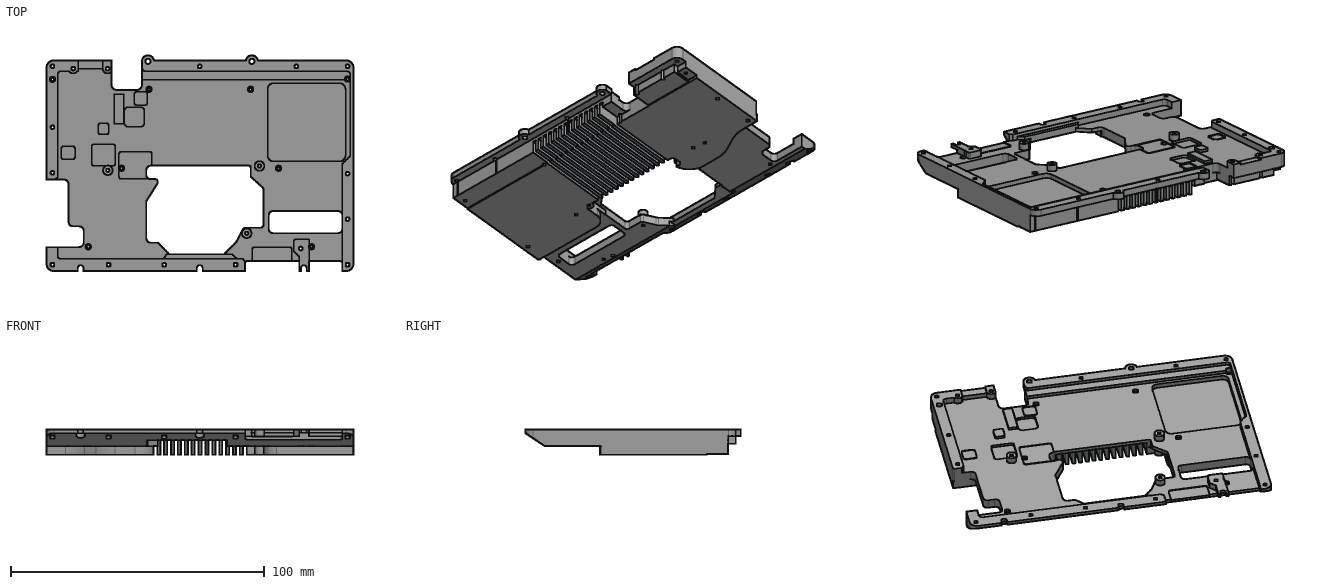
import cadquery as cq
import math

LENGTH = 121.0
DEPTH = 83.0
HEIGHT = 10.0
CORNER_R = 3.0
EDGE_R = 0.5

PLATE_BOTTOM = 3.5
FLOOR = 7.4
SHELF = 8.7
FIN_ROOT = 5.8
BACK_LIP_BOTTOM = 4.3
EAR_BOTTOM = 7.4
BACK_STEP_BOTTOM = 0.35
LEFT_STEP_BOTTOM = 1.4

LEFT_RIM = 4.4
RIGHT_RIM_X = 116.5
THIN_RIGHT_RIM_X = 119.7
RIM_FRONT = 4.8
RIM_BACK_Y = 78.7
FRONT_RIM_END = 78.3
FRONT_RECESS_Y = 3.9
LEFT_NOTCH_BACK = 36.0
LEFT_NOTCH_FRONT = 9.5
NOTCH_LEFT = 25.7
NOTCH_RIGHT = 37.6
NOTCH_FRONT = 71.4
NOTCH_R = 2.0
SHELF_FRONT = 75.3
RIM_CHAMFER = 1.0

BLOCK_FRONT = 29.5
BLOCK_BACK = 80.0
BLOCK_STEP_Y = 71.6
LEFT_STEP_BACK = 78.1
WINDOW_LEFT = 39.4
WINDOW_BACK = 41.5
WINDOW_RIGHT = 80.4
WINDOW_FRONT = 6.7
BLEND_ANGLE = math.radians(30)
BLEND_R = 15.0
RELIEF_RIGHT = 85.6
RIGHT_NOSE_R = 5.0

GAP_COUNT = 14
GAP_START = 42.25
GAP_PITCH = 2.71
GAP_WIDTH = 1.35
FIN_WIDTH = GAP_PITCH - GAP_WIDTH
FIN_NOSE_R = 0.65

SCREW_R = 0.7
SCREW_SEAT_R = 1.0
SCREW_SEAT_TOP = 7.7
TAPPED_R = 0.6
EAR_R = 2.4
EAR_HOLE_R = 1.0
EAR_Y = 82.6
EARS_X = (40.0, 80.9)
SLOT_R = 1.1
SLOT_Y = 1.2
SLOT_SEAT_R = 1.75
SLOT_SEAT_TOP = 8.6
BOSS_R = 1.9
SINK_R = 1.1
SINK_DEPTH = 1.0

CUT = 5.0


def rounded_outline(corners):
    """Closed wire through (x, y, radius) corners; radius 0 leaves a sharp corner."""
    path = []
    count = len(corners)
    for i, (x, y, radius) in enumerate(corners):
        here = cq.Vector(x, y)
        if radius == 0:
            path.append((here,))
            continue
        before = cq.Vector(*corners[i - 1][:2]) - here
        after = cq.Vector(*corners[(i + 1) % count][:2]) - here
        half = before.getAngle(after) / 2
        setback = radius / math.tan(half)
        bisector = (before.normalized() + after.normalized()).normalized()
        middle = here + bisector * (radius / math.sin(half) - radius)
        path.append((here + before.normalized() * setback, middle, here + after.normalized() * setback))
    wire = cq.Workplane("XY").moveTo(path[0][-1].x, path[0][-1].y)
    for stop in path[1:] + path[:1]:
        wire = wire.lineTo(stop[0].x, stop[0].y)
        if len(stop) == 3:
            wire = wire.threePointArc(stop[1].toTuple()[:2], stop[2].toTuple()[:2])
    return wire.close()


def slab(corners, bottom, top):
    """Rounded outline filled from one level to another."""
    return rounded_outline(corners).extrude(top - bottom).translate((0, 0, bottom))


def box(x0, x1, y0, y1, bottom, top, radius=0.0):
    """Upright box with rounded vertical edges."""
    return slab([(x0, y0, radius), (x1, y0, radius), (x1, y1, radius), (x0, y1, radius)], bottom, top)


def rods(centers, radius, bottom, top):
    """Vertical cylinders at the given centres."""
    return cq.Workplane("XY").workplane(offset=bottom).pushPoints(centers).circle(radius).extrude(top - bottom)


FRAME_OUTLINE = [
    (0, 0, CORNER_R),
    (FRONT_RIM_END, 0, 0),
    (FRONT_RIM_END, FRONT_RECESS_Y, 0.7),
    (RIGHT_RIM_X, FRONT_RECESS_Y, 0.7),
    (RIGHT_RIM_X, 0, 0),
    (LENGTH, 0, CORNER_R),
    (LENGTH, DEPTH, CORNER_R),
    (NOTCH_RIGHT, DEPTH, 0),
    (NOTCH_RIGHT, NOTCH_FRONT, NOTCH_R),
    (NOTCH_LEFT, NOTCH_FRONT, NOTCH_R),
    (NOTCH_LEFT, DEPTH, 0),
    (0, DEPTH, CORNER_R),
    (0, LEFT_NOTCH_BACK, EDGE_R),
    (8.7, LEFT_NOTCH_BACK, 1.8),
    (8.7, 17.6, 1.8),
    (14.7, 17.6, 1.8),
    (14.7, LEFT_NOTCH_FRONT, 1.8),
    (0, LEFT_NOTCH_FRONT, 0),
]

CONNECTOR_LEFT = 12.5
CONNECTOR_RIGHT = 22.3
CONNECTOR_FRONT = 79.6
CONNECTOR_FLOOR = 9.3
RECESS_OUTLINE = [
    (LEFT_RIM, RIM_FRONT, 1.4),
    (FRONT_RIM_END - RIM_CHAMFER, RIM_FRONT, 0),
    (FRONT_RIM_END, RIM_FRONT - RIM_CHAMFER, 0),
    (FRONT_RIM_END, -CUT, 0),
    (RIGHT_RIM_X, -CUT, 0),
    (RIGHT_RIM_X, 42.2, 0),
    (THIN_RIGHT_RIM_X, 45.4, 0),
    (THIN_RIGHT_RIM_X, RIM_BACK_Y, 1.4),
    (NOTCH_RIGHT + RIM_CHAMFER, RIM_BACK_Y, 0),
    (NOTCH_RIGHT, RIM_BACK_Y + RIM_CHAMFER, 0),
    (NOTCH_LEFT, CONNECTOR_FRONT, 0),
    (CONNECTOR_LEFT, CONNECTOR_FRONT, 0),
    (CONNECTOR_LEFT, RIM_BACK_Y, 0),
    (LEFT_RIM, RIM_BACK_Y, 1.4),
    (LEFT_RIM, LEFT_NOTCH_BACK + RIM_CHAMFER, 0),
    (LEFT_RIM - RIM_CHAMFER, LEFT_NOTCH_BACK, 0),
    (LEFT_RIM, LEFT_NOTCH_BACK, 0),
]

CONNECTOR_SCREWS = [(10.55, 79.75), (24.1, 79.75)]


def frame():
    body = slab(FRAME_OUTLINE, PLATE_BOTTOM, HEIGHT)
    body = body.cut(slab(RECESS_OUTLINE, FLOOR, HEIGHT + CUT))
    shelf = box(NOTCH_RIGHT, THIN_RIGHT_RIM_X, SHELF_FRONT, RIM_BACK_Y + RIM_CHAMFER, FLOOR, SHELF)
    pillars = rods(CONNECTOR_SCREWS, BOSS_R, FLOOR, HEIGHT)
    pillars = pillars.intersect(box(0, NOTCH_LEFT, 0, DEPTH, 0, HEIGHT))
    body = body.union(shelf).union(pillars)
    body = body.cut(box(CONNECTOR_LEFT, CONNECTOR_RIGHT, CONNECTOR_FRONT - CUT, DEPTH + CUT,
                        CONNECTOR_FLOOR, HEIGHT + CUT))
    body = body.cut(box(-CUT, NOTCH_LEFT, BLOCK_BACK, DEPTH + CUT, 0, BACK_LIP_BOTTOM))
    return body.cut(box(NOTCH_RIGHT, LENGTH + CUT, BLOCK_BACK, DEPTH + CUT, 0, EAR_BOTTOM))


def underside_block():
    blend_dx = BLEND_R * math.sin(BLEND_ANGLE)
    blend_dy = BLEND_R * (1 - math.cos(BLEND_ANGLE))
    half_dx = BLEND_R * math.sin(BLEND_ANGLE / 2)
    half_dy = BLEND_R * (1 - math.cos(BLEND_ANGLE / 2))
    blend_start = 7.4
    blend_end = 26.9
    flat_end = 34.8
    corner_middle = (39.4, 31.4)
    return (
        cq.Workplane("XY")
        .moveTo(0, LEFT_NOTCH_BACK)
        .lineTo(blend_start, LEFT_NOTCH_BACK)
        .threePointArc((blend_start + half_dx, LEFT_NOTCH_BACK - half_dy),
                       (blend_start + blend_dx, LEFT_NOTCH_BACK - blend_dy))
        .lineTo(blend_end - blend_dx, BLOCK_FRONT + blend_dy)
        .threePointArc((blend_end - half_dx, BLOCK_FRONT + half_dy), (blend_end, BLOCK_FRONT))
        .lineTo(flat_end, BLOCK_FRONT)
        .threePointArc(corner_middle, (GAP_START, LEFT_NOTCH_BACK))
        .lineTo(GAP_START, WINDOW_BACK)
        .lineTo(RELIEF_RIGHT, WINDOW_BACK)
        .lineTo(RELIEF_RIGHT, BLOCK_FRONT + RIGHT_NOSE_R)
        .radiusArc((RELIEF_RIGHT + RIGHT_NOSE_R, BLOCK_FRONT), -RIGHT_NOSE_R)
        .lineTo(LENGTH - EDGE_R, BLOCK_FRONT)
        .radiusArc((LENGTH, BLOCK_FRONT + EDGE_R), -EDGE_R)
        .lineTo(LENGTH, BLOCK_BACK)
        .lineTo(0, BLOCK_BACK)
        .close()
        .extrude(PLATE_BOTTOM)
    )


def back_steps():
    """Shallow steps under the back and left-back edges, and the hollow beside the back notch."""
    steps = box(-CUT, LENGTH + CUT, BLOCK_STEP_Y, DEPTH, -CUT, BACK_STEP_BOTTOM)
    steps = steps.union(box(-CUT, LEFT_RIM, BLOCK_STEP_Y, DEPTH, -CUT, LEFT_STEP_BOTTOM))
    steps = steps.union(box(-CUT, LEFT_RIM, LEFT_STEP_BACK, BLOCK_BACK, -CUT, BACK_LIP_BOTTOM))
    return steps.union(box(NOTCH_LEFT, GAP_START, NOTCH_FRONT, DEPTH, -CUT, PLATE_BOTTOM))


def window_side_relief():
    """Hollow under the slanted back-right corner of the window."""
    return box(WINDOW_RIGHT, RELIEF_RIGHT, BLOCK_FRONT, WINDOW_BACK, 0, FIN_ROOT)


def fin_bay():
    bay_end = GAP_START + GAP_COUNT * GAP_PITCH - FIN_WIDTH
    return box(GAP_START, bay_end, WINDOW_BACK, DEPTH + CUT, -CUT, FIN_ROOT)


def fins():
    group = cq.Workplane("XY")
    for i in range(GAP_COUNT - 1):
        left = GAP_START + GAP_WIDTH + i * GAP_PITCH
        right = left + FIN_WIDTH
        fin = slab([(left, WINDOW_BACK, FIN_NOSE_R), (right, WINDOW_BACK, FIN_NOSE_R),
                    (right, BLOCK_BACK, 0), (left, BLOCK_BACK, 0)], 0, FIN_ROOT)
        group = group.union(fin)
    return group


def window():
    opening = rounded_outline([
        (WINDOW_LEFT, 11.2, 1.8),
        (44.0, 11.2, 0),
        (48.4, WINDOW_FRONT, 0),
        (70.0, WINDOW_FRONT, 0),
        (74.7, 11.4, 3.0),
        (77.7, 17.1, 1.2),
        (85.5, 17.1, 1.2),
        (85.5, 32.6, 1.6),
        (WINDOW_RIGHT, 37.2, 0),
        (WINDOW_RIGHT, WINDOW_BACK, 0.8),
        (WINDOW_LEFT, WINDOW_BACK, 1.8),
        (WINDOW_LEFT, 36.3, 1.4),
        (44.9, 36.3, 1.2),
        (WINDOW_LEFT, 27.5, 0),
    ])
    return opening.extrude(HEIGHT)


def side_slot():
    """Rounded rectangular slot beside the right rim."""
    left, front, back, radius = 87.6, 15.0, 23.6, 1.6
    return box(left, RIGHT_RIM_X, front, back, 0, HEIGHT, radius)


def front_relief():
    """Clearance under the front rim, leading air into the window."""
    return box(WINDOW_LEFT + 0.2, 71.2, -CUT, WINDOW_FRONT + CUT, 0, FIN_ROOT)


def front_bevel():
    """Slope under the front edge."""
    edge_height = 8.6
    run = 7.7
    slope = (edge_height - PLATE_BOTTOM) / run
    profile = [(-CUT, 0), (run, 0), (run, PLATE_BOTTOM), (-CUT, edge_height + CUT * slope)]
    return cq.Workplane("YZ").polyline(profile).close().extrude(LENGTH)


PADS = [
    (26.8, 30.5, 58.1, 69.7, 0.0),
    (20.5, 24.5, 53.8, 58.2, 0.8),
]
PAD_TOP = 8.4
SHALLOW_POCKETS = [
    (34.6, 39.8, 65.3, 70.6, 1.0),
    (5.9, 11.3, 44.0, 49.2, 1.0),
    (28.6, 41.6, 36.3, 47.0, 0.9),
    (81.1, 96.6, -CUT, 9.5, 0.9),
]
SHALLOW_DEPTH = 0.3
DEEP_POCKETS = [
    (30.7, 38.6, 56.8, 64.6, 1.6),
    (17.9, 27.1, 41.4, 50.0, 1.0),
]
DEEP_DEPTH = 1.0
LARGE_POCKETS = [(87.1, 117.8, 43.2, 74.0, 2.4)]
LARGE_DEPTH = 1.9


def pockets(sizes, depth):
    group = cq.Workplane("XY")
    for x0, x1, y0, y1, radius in sizes:
        group = group.union(box(x0, x1, y0, y1, FLOOR - depth, FLOOR, radius))
    return group


def pads():
    group = slab([(46.1, RIM_FRONT, 0), (75.2, RIM_FRONT, 0), (73.0, WINDOW_FRONT, 0),
                  (47.4, WINDOW_FRONT, 0)], FLOOR, SHELF)
    for x0, x1, y0, y1, radius in PADS:
        group = group.union(box(x0, x1, y0, y1, FLOOR, PAD_TOP, radius))
    return group


def bracket():
    """Front tab on the floor, thinned where it overhangs the front recess."""
    seat_left, neck_left, right, back = 97.4, 99.5, 103.5, 12.6
    tab = slab([(neck_left, 0, 0), (right, 0, 0), (right, back, 0.5), (seat_left, back, 1.0),
                (seat_left, 7.8, 0), (neck_left, 5.8, 0)], FLOOR, HEIGHT)
    return tab.cut(box(neck_left, right, -CUT, FRONT_RECESS_Y, 0, SHELF))


SIDE_X = 2.4
BACK_SCREW_Y = 80.65
FRONT_SCREW_Y = 2.5
SCREWS = CONNECTOR_SCREWS + [
    (SIDE_X, 56.7), (SIDE_X, 38.7),
    (LENGTH - SIDE_X, 38.4), (LENGTH - SIDE_X, 20.5),
    (100.2, 8.9),
]
SCREWS += [(x, BACK_SCREW_Y) for x in (SIDE_X, 60.4, 98.4, LENGTH - SIDE_X)]
FRONT_SCREWS = [(x, FRONT_SCREW_Y) for x in (SIDE_X, 24.5, 46.4, 74.5, LENGTH - SIDE_X)]
SLOTS_X = (13.5, 60.4, 101.4)
WINDOW_BOSS = (83.9, 41.4)
BOSSES = [(24.2, 39.7), WINDOW_BOSS, (78.9, 14.9)]
SINKS = [(SIDE_X, 75.5), (LENGTH - SIDE_X, 75.6)]
SINKS += [(40.4, 71.6), (80.4, 71.6), (29.6, 40.5), (91.4, 40.5), (16.5, 9.6), (104.4, 9.6)]


def ears():
    centers = [(x, EAR_Y) for x in EARS_X]
    return rods(centers, EAR_R, EAR_BOTTOM, HEIGHT)


def edge_slots():
    group = rods([(x, SLOT_Y) for x in SLOTS_X], SLOT_R, 0, HEIGHT)
    for x in SLOTS_X:
        group = group.union(box(x - SLOT_R, x + SLOT_R, -CUT, SLOT_Y, 0, HEIGHT))
    return group.union(rods([(x, SLOT_Y) for x in SLOTS_X], SLOT_SEAT_R, 0, SLOT_SEAT_TOP))


def holes():
    group = rods(SCREWS + FRONT_SCREWS, SCREW_R, -CUT, HEIGHT)
    group = group.union(rods(BOSSES + SINKS, TAPPED_R, -CUT, HEIGHT))
    group = group.union(rods([(x, EAR_Y) for x in EARS_X], EAR_HOLE_R, -CUT, HEIGHT))
    group = group.union(rods(FRONT_SCREWS, SCREW_SEAT_R, 0, SCREW_SEAT_TOP))
    return group.union(rods(SINKS, SINK_R, FLOOR - SINK_DEPTH, HEIGHT))


result = frame().union(underside_block())
result = result.cut(window())
result = result.cut(side_slot())
result = result.cut(pockets(SHALLOW_POCKETS, SHALLOW_DEPTH))
result = result.cut(pockets(DEEP_POCKETS, DEEP_DEPTH))
result = result.cut(pockets(LARGE_POCKETS, LARGE_DEPTH))
result = result.union(pads()).union(bracket()).union(ears())
result = result.union(rods(BOSSES, BOSS_R, FLOOR, HEIGHT))
result = result.cut(front_relief()).cut(front_bevel())
result = result.cut(fin_bay()).union(fins()).cut(back_steps())
result = result.cut(window_side_relief()).union(rods([WINDOW_BOSS], BOSS_R, 0, FIN_ROOT))
result = result.cut(edge_slots()).cut(holes())